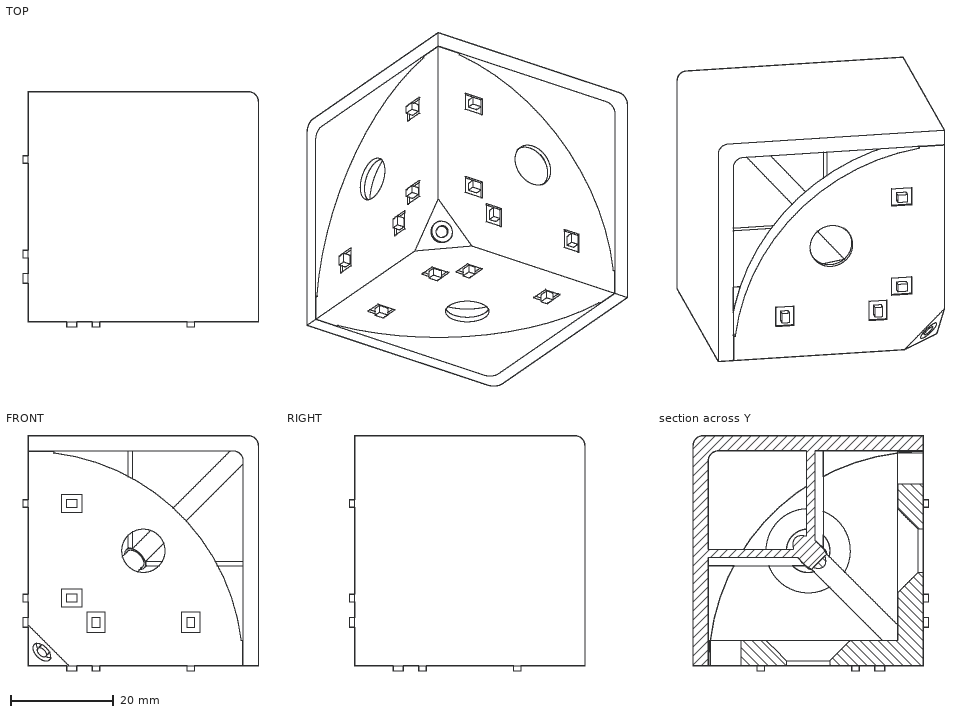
import cadquery as cq
import math

pin_projection = 1.0
cube_side = 46 - pin_projection

wall = 3.0
inner_side = cube_side - wall
edge_radius = 2.0
rib_thickness = 1.2
rib_tip = 19.95

upper_post_radius = 2.5
lower_post_radius = 2.1
post_joint = 20.9

core_clearance = 0.1
core_radius = inner_side - core_clearance
plate_thickness = 5.0
window_radius = 4.25
window_land = 1.0
corner_cut = 8.0
groove_outer_radius = 2.1
groove_inner_radius = 1.1
groove_depth = 1.2

pin_width = 1.5
pin_length = 2.0
recess_margin = 1.0
recess_depth = 0.5
pin_inset = 8.5
pin_pitch = 18.5

DIAGONAL = cq.Vector(1, 1, 1)


def around_diagonal(shape):
    """The three copies of a workplane shape, one for each axis of the cube."""
    return [shape.rotate((0, 0, 0), DIAGONAL.toTuple(), turn) for turn in (0, 120, 240)]


def diagonal_cylinder(radius, start, end):
    """Cylinder on the cube diagonal, from distance start to distance end from the origin."""
    base = DIAGONAL.normalized().multiply(start)
    return cq.Workplane(cq.Solid.makeCylinder(radius, end - start, base, DIAGONAL))


def corner_box(side):
    """Cube with one corner on the origin and its three far edges rounded."""
    box = cq.Workplane().box(side, side, side, centered=False)
    return box.edges("(>X and >Y) or (>X and >Z) or (>Y and >Z)").fillet(edge_radius)


def rib():
    """Upright web in the plane X = Y, between the diagonal post and the top wall."""
    across = math.sqrt(2)
    diagonal_plane = cq.Plane(origin=(0, 0, 0), xDir=(1, 1, 0), normal=(1, -1, 0))
    tip_bottom = 3 * post_joint - 2 * rib_tip
    return (
        cq.Workplane(diagonal_plane)
        .moveTo(across * rib_tip, tip_bottom)
        .lineTo(across * post_joint, post_joint)
        .lineTo(across * inner_side, inner_side)
        .lineTo(across * rib_tip, inner_side)
        .close()
        .extrude(rib_thickness / 2, both=True)
    )


def make_shell():
    """Three walls meeting at the far corner, with the upper post and its webs."""
    shell = corner_box(cube_side).cut(corner_box(inner_side))
    joint = math.sqrt(3) * post_joint
    post_end = math.sqrt(3) * (inner_side + wall / 4)
    shell = shell.union(diagonal_cylinder(upper_post_radius, joint, post_end))
    for web in around_diagonal(rib()):
        shell = shell.union(web)
    return shell.solids()


def quarter_plate():
    """Quarter disc lying on Z = 0, centred on the origin."""
    return (
        cq.Workplane()
        .lineTo(core_radius, 0)
        .radiusArc((0, core_radius), -core_radius)
        .close()
        .extrude(plate_thickness)
    )


def window():
    """Round opening through the plate on Z = 0, flaring towards the inside."""
    flare = plate_thickness - window_land
    centre = cube_side / 2
    straight = cq.Workplane().center(centre, centre).circle(window_radius).extrude(plate_thickness)
    cone = cq.Solid.makeCone(
        window_radius, window_radius + flare, flare, cq.Vector(centre, centre, window_land))
    return straight.union(cq.Workplane(cone))


def pin_blocks(margin, bottom, top):
    """Four upright blocks at the pin places of the face Z = 0, larger than the pins by margin."""
    width = pin_width + 2 * margin
    length = pin_length + 2 * margin
    blocks = cq.Workplane()
    for along in (cube_side / 2 - pin_pitch / 2, cube_side / 2 + pin_pitch / 2):
        for x, y, size_x, size_y in (
            (along, pin_inset, width, length),
            (pin_inset, along, length, width),
        ):
            block = cq.Workplane().box(size_x, size_y, top - bottom, centered=(True, True, False))
            blocks = blocks.add(block.translate((x, y, bottom)))
    return blocks.combine()


def make_core():
    """Three windowed quarter discs with the lower post, corner groove and contact pins."""
    cut_distance = corner_cut / math.sqrt(3)
    core = diagonal_cylinder(lower_post_radius, cut_distance, math.sqrt(3) * post_joint)
    for plate in around_diagonal(quarter_plate()):
        core = core.union(plate)
    for opening in around_diagonal(window()):
        core = core.cut(opening)
    for recesses in around_diagonal(pin_blocks(recess_margin, 0, recess_depth)):
        core = core.cut(recesses)
    for pins in around_diagonal(pin_blocks(0, -pin_projection, recess_depth)):
        core = core.union(pins)

    core = core.cut(diagonal_cylinder(corner_cut, 0, cut_distance))

    groove_end = cut_distance + groove_depth
    groove = diagonal_cylinder(groove_outer_radius, cut_distance, groove_end)
    stud = diagonal_cylinder(groove_inner_radius, cut_distance, groove_end)
    return core.cut(groove.cut(stud)).solids()


shell = make_shell()
core = make_core()
result = cq.Compound.makeCompound([shell.val(), core.val()])